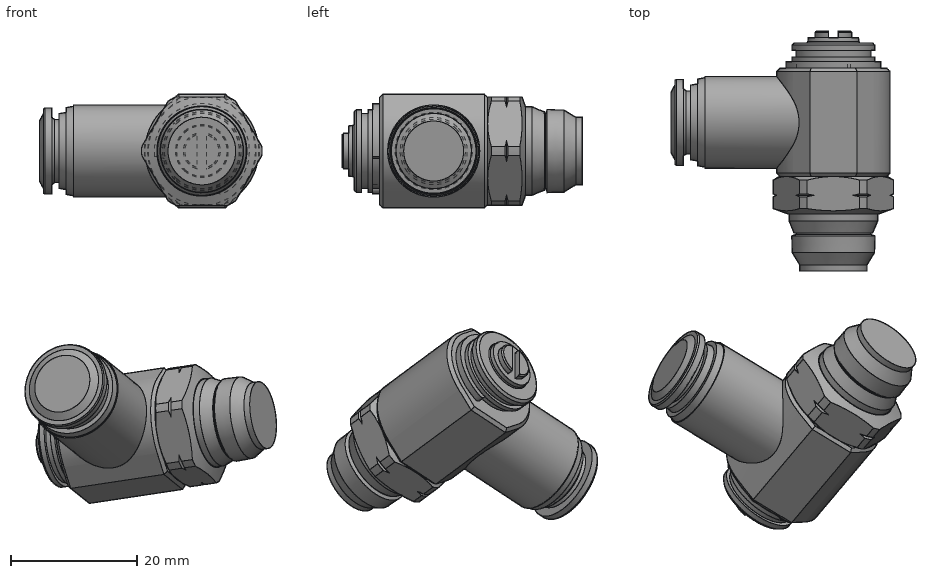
import cadquery as cq
import math


knob_top = 14.48
spindle_base = 13.45
cap_base = 12.6
knob_base = 9.65
body_top = 8.6
body_bottom = -8.55
nut_bottom = -14.5
stud_end = -23.52

body_radius = 9.0
body_chamfer = 0.55

spindle_radius = 2.93
spindle_chamfer = 0.23
slot_width = 1.52

core_radius = 5.93
rim_radius = 7.52
rim_start_angle = -63
rim_end_angle = 186.4
rim_root_angle = 191.8

nut_across_flats = 17.18
nut_corner_radius = 9.55
nut_upper_bevel = 0.57
nut_lower_bevel = 0.87
nut_seat_radius = 7.15
notch_depth = 0.4
notch_half_width = 0.23


def turned_about_y(outline):
    """Solid of revolution about Y from (radius, y) points, closed along the axis."""
    points = [(0, outline[0][1])] + outline + [(0, outline[-1][1])]
    return cq.Workplane("XY").polyline(points).close().revolve(360, (0, 0), (0, 1))


def turned_about_x(outline):
    """Solid of revolution about X from (x, radius) points, closed along the axis."""
    points = [(outline[0][0], 0)] + outline + [(outline[-1][0], 0)]
    return cq.Workplane("XY").polyline(points).close().revolve(360, (0, 0), (1, 0))


def along_y(start):
    """Sketch plane at y = start with local axes X and Z; positive extrusion goes to -Y."""
    return cq.Workplane("XZ", origin=(0, start, 0))


def polar(radius, angle):
    """Point at the given radius and angle in degrees."""
    return (radius * math.cos(math.radians(angle)), radius * math.sin(math.radians(angle)))


def make_body():
    """Round bar with flats above and below, each joined to the sides by 45 degree flats."""
    half_flat = body_radius * math.tan(math.radians(22.5))
    tangent = body_radius * math.cos(math.radians(45))
    outline = (
        along_y(body_top)
        .moveTo(-half_flat, body_radius)
        .lineTo(half_flat, body_radius)
        .lineTo(tangent, tangent)
        .threePointArc((body_radius, 0), (tangent, -tangent))
        .lineTo(half_flat, -body_radius)
        .lineTo(-half_flat, -body_radius)
        .lineTo(-tangent, -tangent)
        .threePointArc((-body_radius, 0), (-tangent, tangent))
        .close()
    )
    bar = outline.extrude(body_top - body_bottom)
    return bar.faces("<Y or >Y").chamfer(body_chamfer)


def make_knob():
    """Grooved knob with a stepped cap and a slotted spindle on top."""
    knob_radius = 6.57
    groove_radius = 5.95
    edge_chamfer = 0.38
    groove_top = 11.4
    groove_bottom = 10.37
    cap_top_radius = 4.0
    cap_rim = 12.85
    cap_rim_radius = 4.05
    cap_base_radius = 4.18
    knob = turned_about_y([
        (knob_radius, knob_base),
        (knob_radius, groove_bottom),
        (groove_radius, groove_bottom),
        (groove_radius, groove_top),
        (knob_radius, groove_top),
        (knob_radius, cap_base - edge_chamfer),
        (knob_radius - edge_chamfer, cap_base),
        (cap_base_radius, cap_base),
        (cap_rim_radius, cap_rim),
        (cap_top_radius, spindle_base),
        (spindle_radius, spindle_base),
        (spindle_radius, knob_top - spindle_chamfer),
        (spindle_radius - spindle_chamfer, knob_top),
    ])
    slot_depth = knob_top - spindle_base
    slot = cq.Workplane("XY").box(slot_width, slot_depth, 2 * spindle_radius)
    return knob.cut(slot.translate((0, knob_top - slot_depth / 2, 0)))


def make_stop_ring():
    """Round core with a partial rim: one end semicircular, the other slanted."""
    height = knob_base - body_top
    middle_angle = (rim_start_angle + rim_end_angle) / 2
    mid_radius = (core_radius + rim_radius) / 2
    core = along_y(knob_base).circle(core_radius).extrude(height)
    rim = (
        along_y(knob_base)
        .moveTo(*polar(core_radius, rim_start_angle))
        .lineTo(*polar(rim_radius, rim_start_angle))
        .threePointArc(polar(rim_radius, middle_angle), polar(rim_radius, rim_end_angle))
        .lineTo(*polar(core_radius, rim_root_angle))
        .threePointArc(polar(core_radius, middle_angle), polar(core_radius, rim_start_angle))
        .close()
        .extrude(height)
    )
    end_round = (
        along_y(knob_base)
        .center(*polar(mid_radius, rim_start_angle))
        .circle((rim_radius - core_radius) / 2)
        .extrude(height)
    )
    return core.union(rim).union(end_round)


def make_nut():
    """Hexagon with bevelled ends, trimmed corners and a V notch around the corners."""
    corner_diameter = nut_across_flats / math.cos(math.radians(30))
    hexagon = along_y(body_bottom).polygon(6, corner_diameter).extrude(body_bottom - nut_bottom)
    notch_y = (body_bottom + nut_bottom) / 2
    envelope = turned_about_y([
        (nut_across_flats / 2, body_bottom),
        (nut_corner_radius, body_bottom - nut_upper_bevel),
        (nut_corner_radius, notch_y + notch_half_width),
        (nut_corner_radius - notch_depth, notch_y),
        (nut_corner_radius, notch_y - notch_half_width),
        (nut_corner_radius, nut_bottom + nut_lower_bevel),
        (nut_seat_radius, nut_bottom),
    ])
    return hexagon.intersect(envelope)


def make_stud():
    """Sealing cone and threaded stud below the nut."""
    seal_radius = 7.03
    seal_cone_top = -15.58
    seal_cone_end_radius = 6.25
    relief_radius = 5.93
    relief_top = -17.5
    relief_bottom = -17.7
    thread_top = -17.97
    thread_radius = 6.55
    thread_crest = 0.08
    taper_top = -20.6
    tip_top = -22.55
    tip_radius = 5.35
    return turned_about_y([
        (seal_radius, nut_bottom),
        (seal_radius, seal_cone_top),
        (seal_cone_end_radius, relief_top),
        (relief_radius, relief_top),
        (relief_radius, relief_bottom),
        (thread_radius + thread_crest, thread_top),
        (thread_radius, taper_top),
        (tip_radius, tip_top),
        (tip_radius, stud_end),
    ])


def make_arm():
    """Sleeve with two tapered rings and a flanged release button at its end."""
    arm_end = -25.73
    arm_radius = 7.3
    sleeve_end = -20.33
    button_face_radius = 4.75
    button_cone_radius = 5.95
    flange_radius = 6.85
    flange_edge_taper = 0.15
    flange_edge_width = 0.25
    neck_radius = 5.0
    neck_flare_radius = 5.32
    neck_flare_length = 0.45
    outer_ring_radii = (5.93, 6.1)
    inner_ring_radii = (6.88, 7.1)
    flange_front = -25.08
    flange_back = -23.75
    outer_ring_end = -22.65
    inner_ring_end = -21.5
    return turned_about_x([
        (arm_end, button_face_radius),
        (flange_front, button_cone_radius),
        (flange_front, flange_radius - flange_edge_taper),
        (flange_front + flange_edge_width, flange_radius),
        (flange_back, flange_radius),
        (flange_back, neck_flare_radius),
        (flange_back + neck_flare_length, neck_radius),
        (outer_ring_end, neck_radius),
        (outer_ring_end, outer_ring_radii[0]),
        (inner_ring_end, outer_ring_radii[1]),
        (inner_ring_end, inner_ring_radii[0]),
        (sleeve_end, inner_ring_radii[1]),
        (sleeve_end, arm_radius),
        (0, arm_radius),
    ])


result = make_body()
for piece in (make_knob(), make_stop_ring(), make_nut(), make_stud(), make_arm()):
    result = result.union(piece)